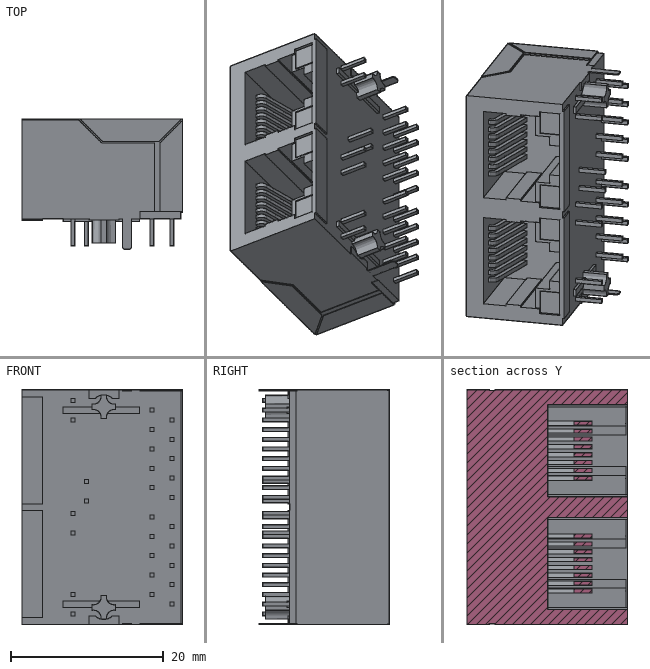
import cadquery as cq
import math


length = 21.1
depth = 13.1
height = 30.8
half_height = height / 2

flap_width = 2.95
back_flap_start = 7.65
seam_width = 0.22
seam_depth = 0.1
side_seam_width = 0.75
bend_chamfer = 0.12

relief_start = 15.52
relief_height = 0.95
relief_depth = 0.15
rear_relief_height = 0.83
rear_flap_thickness = 0.25

port_center_z = 7.4
port_half_width = 6.0
port_top = 10.75
port_bottom = 0.4
port_depth = 10.47
guide_rib_low = 5.67
guide_rib_high = 7.67
guide_rib_height = 0.25
led_block_top = 3.7
led_block_inner = 3.23
latch_step_top = 1.82
latch_half_width = 2.05
led_block_setback = 0.25
led_setback = 0.4
led_top = 3.1
led_inner = 3.6
led_outer = 6.65

contact_count = 8
contact_span = 7.2
contact_pitch = contact_span / (contact_count - 1)
contact_width = 0.55
contact_thickness = 0.62
contact_front = 2.62
contact_root = 0.25
contact_bend_radius = 1.0
contact_slope = math.radians(15)

panel_length = 2.75
panel_thickness = 0.22
panel_inner_z = 0.43
panel_outer_z = 14.45

peg_x = 10.75
peg_z = 13.15
peg_clearance_radius = 1.57
peg_tip_reach = 1.55
peg_tip_half_width = 0.37
peg_waist = 0.65
peg_length = 3.17
pad_start = 8.85
pad_end = 12.75
pad_width = 1.15
pad_height = 0.2
rail_start = 5.42
rail_end = 15.45
rail_inner_z = 12.3
rail_outer_z = 13.15
rail_height = 0.37
tab_start = 13.18
tab_end = 14.4
tab_length = 4.0
tab_thickness = 0.15
tab_chamfer = 0.25

pin_width = 0.52
signal_pin_count = 5
signal_column_span = 10.15
pin_pitch = signal_column_span / (signal_pin_count - 1)
signal_group_z = 7.0
signal_stagger = pin_pitch / 4
signal_column_near = 17.05
signal_column_far = 19.68
led_column = 6.7
led_column_inner = 8.47
led_pair_outer_z = 12.72
led_pair_inner_z = 2.1
pin_length = 3.55


def block(x0, x1, y0, y1, z0, z1):
    """Box between two corners."""
    return cq.Workplane("XY").box(x1 - x0, y1 - y0, z1 - z0, centered=False).translate((x0, y0, z0))


def both_ends(shape):
    """The shape at the +Z end together with its mirror image at the -Z end."""
    return shape.union(shape.mirror("XY"))


def spread(count, pitch, center):
    """Evenly spaced positions about a centre."""
    return [center + (i - (count - 1) / 2) * pitch for i in range(count)]


def shield_cuts():
    """Seams, bend chamfer and relief in the shield at the +Z end."""
    seam_floor = half_height - seam_depth
    slant = seam_width * math.sqrt(2)
    flap_y = depth - flap_width
    flap_x = length - flap_width
    back_flap_foot = back_flap_start + flap_width
    seam_y = flap_y - seam_width
    seam_foot = back_flap_foot - slant + seam_width
    side_seam_x = flap_x - side_seam_width

    def groove(points):
        return cq.Workplane("XY", origin=(0, 0, seam_floor)).polyline(points).close().extrude(seam_depth)

    front_seam = groove([
        (back_flap_start - slant, depth),
        (back_flap_start, depth),
        (back_flap_foot, flap_y),
        (flap_x, flap_y),
        (flap_x, seam_y),
        (seam_foot, seam_y),
    ])
    side_seam = block(side_seam_x, flap_x, 0, flap_y, seam_floor, half_height)
    corner_seam = groove([
        (length - slant / 2, depth),
        (length, depth),
        (length, depth - slant / 2),
        (flap_x, flap_y - slant / 2),
        (flap_x - slant / 2, flap_y),
    ])
    relief = block(relief_start, length, 0, relief_height, half_height - relief_depth, half_height)
    bend = (
        cq.Workplane("YZ")
        .polyline([
            (depth, half_height),
            (depth - bend_chamfer, half_height),
            (depth, half_height - bend_chamfer),
        ])
        .close()
        .extrude(back_flap_start)
    )
    return front_seam.union(side_seam).union(corner_seam).union(relief).union(bend)


def port_cut(center):
    """Plug opening with its guide ribs, LED blocks and LED windows left standing."""
    half_profile = [
        (port_top, port_half_width),
        (led_block_top, port_half_width),
        (led_block_top, led_block_inner),
        (latch_step_top, led_block_inner),
        (latch_step_top, latch_half_width),
        (port_bottom, latch_half_width),
    ]
    mirrored = [(y, -z) for y, z in reversed(half_profile)]
    cut = cq.Workplane("YZ").polyline(half_profile + mirrored).close().extrude(port_depth)
    front_recess = block(0, led_block_setback, port_bottom, port_top, -port_half_width, port_half_width)
    led = block(0, led_setback, port_bottom, led_top, led_inner, led_outer)
    rib = block(
        0, port_depth, guide_rib_low, guide_rib_high,
        port_half_width - guide_rib_height, port_half_width,
    )
    cut = cut.union(front_recess).union(both_ends(led)).cut(both_ends(rib))
    return cut.translate((0, 0, center))


def contact(center):
    """Spring contact: root in the port wall, round bend, then a slope to the rear wall."""
    inner_radius = contact_bend_radius - contact_thickness
    bend_x = contact_front + contact_bend_radius
    bend_y = port_top - contact_root
    end_angle = math.pi * 1.5 - contact_slope
    middle_angle = (math.pi + end_angle) / 2

    def on_bend(radius, angle):
        return (bend_x + radius * math.cos(angle), bend_y + radius * math.sin(angle))

    def at_rear(radius):
        x, y = on_bend(radius, end_angle)
        return (port_depth, y - (port_depth - x) * math.tan(contact_slope))

    return (
        cq.Workplane("XY", origin=(0, 0, center - contact_width / 2))
        .moveTo(contact_front, port_top)
        .lineTo(contact_front, bend_y)
        .threePointArc(on_bend(contact_bend_radius, middle_angle), on_bend(contact_bend_radius, end_angle))
        .lineTo(*at_rear(contact_bend_radius))
        .lineTo(*at_rear(inner_radius))
        .lineTo(*on_bend(inner_radius, end_angle))
        .threePointArc(on_bend(inner_radius, middle_angle), on_bend(inner_radius, math.pi))
        .lineTo(contact_front + contact_thickness, port_top)
        .close()
        .extrude(contact_width)
    )


def peg():
    """Four-lobed board peg with flat tips and hollow flanks."""
    def turned(x, z, angle):
        return (
            x * math.cos(angle) - z * math.sin(angle),
            x * math.sin(angle) + z * math.cos(angle),
        )

    outline = cq.Workplane("XZ").moveTo(peg_tip_reach, -peg_tip_half_width)
    for quarter in range(4):
        angle = quarter * math.pi / 2
        tip_end = turned(peg_tip_reach, peg_tip_half_width, angle)
        hollow_middle = turned(peg_waist, peg_waist, angle)
        next_tip_start = turned(peg_tip_half_width, peg_tip_reach, angle)
        outline = outline.lineTo(*tip_end).threePointArc(hollow_middle, next_tip_start)
    return outline.close().extrude(peg_length).translate((peg_x, 0, peg_z))


def board_side_end():
    """Peg, pad, rail and shield tab at the +Z end."""
    pad = block(pad_start, pad_end, -pad_height, 0, half_height - pad_width, half_height)
    peg_clearance = cq.Workplane("XZ").center(peg_x, peg_z).circle(peg_clearance_radius).extrude(pad_height)
    rail = block(rail_start, rail_end, -rail_height, 0, rail_inner_z, rail_outer_z)
    tab = block(tab_start, tab_end, -tab_length, 0, half_height - tab_thickness, half_height)
    tab = tab.faces("<Y").edges("|Z").chamfer(tab_chamfer)
    return pad.cut(peg_clearance).union(rail).union(tab).union(peg())


def pins(x, z_positions):
    """Column of square solder pins."""
    points = [(x, z) for z in z_positions]
    return cq.Workplane("XZ").pushPoints(points).rect(pin_width, pin_width).extrude(pin_length)


result = block(0, length, 0, depth, -half_height, half_height)
result = result.cut(both_ends(shield_cuts()))
result = result.cut(
    block(length - rear_flap_thickness, length, 0, rear_relief_height, -half_height, half_height)
)

for port_z in (port_center_z, -port_center_z):
    result = result.cut(port_cut(port_z))
    for contact_z in spread(contact_count, contact_pitch, port_z):
        result = result.union(contact(contact_z))

panel = block(0, panel_length, -panel_thickness, 0, panel_inner_z, panel_outer_z)
result = result.union(both_ends(panel))
result = result.union(both_ends(board_side_end()))

for group_z in (signal_group_z, -signal_group_z):
    near_z = spread(signal_pin_count, pin_pitch, group_z + signal_stagger)
    far_z = spread(signal_pin_count, pin_pitch, group_z - signal_stagger)
    result = result.union(pins(signal_column_near, near_z))
    result = result.union(pins(signal_column_far, far_z))

for pair_z in (led_pair_outer_z, -led_pair_inner_z, -led_pair_outer_z):
    result = result.union(pins(led_column, spread(2, pin_pitch, pair_z)))
result = result.union(pins(led_column_inner, spread(2, pin_pitch, led_pair_inner_z)))